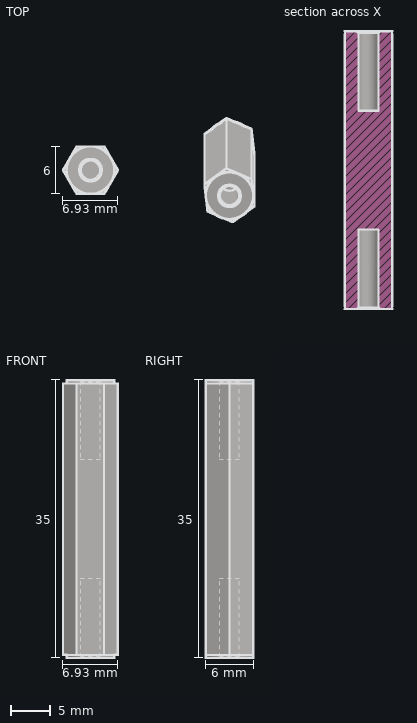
import cadquery as cq
import math

length = 35.0
across_flats = 6.0
collar_diameter = across_flats
collar_height = 0.4
bore_diameter = 2.46
bore_depth = 10.0
countersink_diameter = 2.86

across_corners = across_flats / math.cos(math.pi / 6)
hexagon_length = length - 2 * collar_height
countersink_depth = (countersink_diameter - bore_diameter) / 2


def make_body():
    """Hexagonal bar with a round collar standing on each end."""
    bottom_collar = cq.Workplane("XY").circle(collar_diameter / 2).extrude(collar_height)
    hexagon = (
        cq.Workplane("XY")
        .workplane(offset=collar_height)
        .polygon(6, across_corners)
        .extrude(hexagon_length)
    )
    top_collar = bottom_collar.translate((0, 0, length - collar_height))
    return hexagon.union(bottom_collar).union(top_collar)


def make_top_bore():
    """Flat-bottomed bore with a countersunk mouth, opening at the top face."""
    bore_radius = bore_diameter / 2
    bottom = length - bore_depth
    half_section = [
        (0, bottom),
        (bore_radius, bottom),
        (bore_radius, length - countersink_depth),
        (countersink_diameter / 2, length),
        (0, length),
    ]
    return cq.Workplane("XZ").polyline(half_section).close().revolve(360, (0, 0), (0, 1))


top_bore = make_top_bore()
bottom_bore = top_bore.mirror("XY", (0, 0, length / 2))

result = make_body().cut(top_bore).cut(bottom_bore)